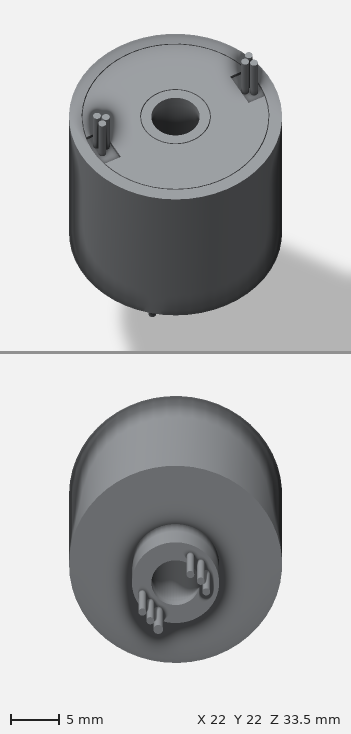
import cadquery as cq

total_height = 33.5
lower_pin_length = 5.0
boss_height = 5.0
body_height = 19.03
boss_bottom = lower_pin_length
body_bottom = boss_bottom + boss_height
body_top = body_bottom + body_height

body_diameter = 22.0
boss_diameter = 9.0
bore_diameter = 5.0

groove_width = 0.1
cover_diameter = 19.2
hub_diameter = 7.1
recess_depth = 0.4
recess_floor = body_top - recess_depth

pocket_width = 4.0
pocket_inner_y = 7.5

wire_diameter = 0.8
wire_pitch = 1.15
wire_group_x = 0.2
wire_outer_y = 8.8
wire_inner_y = 8.07

pin_diameter = 0.8
thick_pin_diameter = 1.0
pin_pitch = 1.27
pin_row_y = 3.42
offset_pin_y = 3.08


def cylinder(diameter, bottom, top, x=0, y=0):
    """Upright cylinder between two heights."""
    base = cq.Workplane("XY", origin=(x, y, bottom))
    return base.circle(diameter / 2).extrude(top - bottom)


def ring_groove(inner_diameter):
    """Cutter for a narrow ring groove in the top face."""
    outer = cylinder(inner_diameter + 2 * groove_width, recess_floor, body_top)
    return outer.cut(cylinder(inner_diameter, recess_floor, body_top))

result = cylinder(body_diameter, body_bottom, body_top)
result = result.union(cylinder(boss_diameter, boss_bottom, body_bottom))
result = result.cut(cylinder(bore_diameter, boss_bottom, body_top))

for ring_diameter in (hub_diameter, cover_diameter):
    result = result.cut(ring_groove(ring_diameter))

band_length = cover_diameter / 2 - pocket_inner_y
band_center_y = pocket_inner_y + band_length / 2
for side in (1, -1):
    pocket = (
        cq.Workplane("XY", origin=(0, side * band_center_y, recess_floor))
        .rect(pocket_width, band_length)
        .extrude(recess_depth)
        .intersect(cylinder(cover_diameter, recess_floor, body_top))
    )
    result = result.cut(pocket)

wire_group = (
    (wire_group_x - wire_pitch / 2, wire_outer_y),
    (wire_group_x + wire_pitch / 2, wire_outer_y),
    (wire_group_x, wire_inner_y),
)
for side in (1, -1):
    for x, y in wire_group:
        wire = cylinder(wire_diameter, recess_floor, total_height, side * x, side * y)
        result = result.union(wire)

lower_pins = (
    (-pin_pitch, -pin_row_y, thick_pin_diameter),
    (0, -pin_row_y, pin_diameter),
    (pin_pitch, -pin_row_y, pin_diameter),
    (-pin_pitch, offset_pin_y, pin_diameter),
    (0, pin_row_y, pin_diameter),
    (pin_pitch, offset_pin_y, pin_diameter),
)
for x, y, diameter in lower_pins:
    result = result.union(cylinder(diameter, 0, boss_bottom, x, y))